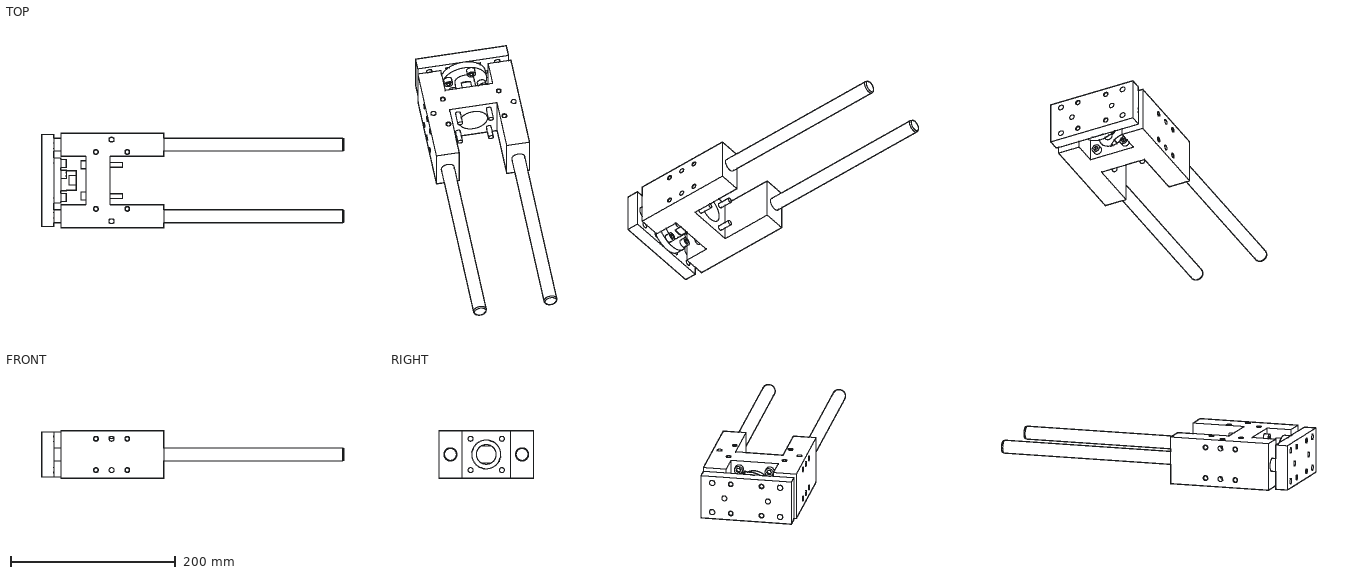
import cadquery as cq
import math


plate_thickness = 15.0
plate_width = 112.0
plate_height = 55.0
corner_hole_diameter = 6.6
middle_hole_diameter = 6.2
corner_hole_y = 42.0
middle_hole_y = 27.0

rod_diameter = 16.0
rod_spacing = 87.0
rod_end_x = 367.0
rod_chamfer_length = 2.0
rod_chamfer_depth = 0.8

housing_start_x = 23.5
housing_length = 125.0
housing_width = 115.0
housing_height = 58.0
arm_gap = 58.5
web_start_x = 53.7
web_thickness = 29.4
web_bore_diameter = 35.0

mount_pitch = 38.0
mount_half = mount_pitch / 2
thread_core_diameter = 4.92
thread_diameter = 6.0
thread_depth = 12.0
drill_point_angle = 118.0
dowel_diameter = 6.0
side_dowel_depth = 10.5
top_dowel_depth = 9.5
mount_center_x = 85.0
top_thread_y = 34.5
top_dowel_y = 49.5

screw_diameter = 6.0
screw_head_diameter = 10.0
socket_width = 5.0
socket_depth = 3.0
web_screw_head_height = 6.0
web_screw_tip_x = 98.5

flange_diameter = 55.0
flange_end_x = housing_start_x
flange_screw_count = 4
flange_screw_circle_diameter = 44.0
flange_screw_angle = 20.0
flange_screw_head_height = 6.5
hub_diameter = 24.0
hub_end_x = 42.2
hub_flat_width = 21.0
hub_flat_length = 9.0

X_AXIS = (1, 0, 0)
Y_AXIS = (0, 1, 0)
Z_AXIS = (0, 0, 1)


def reverse(direction):
    return tuple(-component for component in direction)


def perpendicular(direction):
    """An axis square to the given axis direction."""
    return X_AXIS if direction[0] == 0 else Y_AXIS


def cylinder(start, direction, diameter, length):
    """Solid cylinder that grows from start along direction."""
    plane = cq.Plane(origin=start, xDir=perpendicular(direction), normal=direction)
    return cq.Workplane(plane).circle(diameter / 2).extrude(length)


def box_between(x_start, x_end, width, height):
    """Box centred on Y and Z that spans the given range of X."""
    length = x_end - x_start
    return cq.Workplane("XY").box(length, width, height).translate((x_start + length / 2, 0, 0))


def threaded_hole(start, direction, depth):
    """Core hole with a 45 degree countersink and a conical drill point."""
    core_radius = thread_core_diameter / 2
    mouth_radius = thread_diameter / 2
    sink_depth = mouth_radius - core_radius
    point_length = core_radius / math.tan(math.radians(drill_point_angle / 2))
    across = perpendicular(direction)
    normal = cq.Vector(*across).cross(cq.Vector(*direction))
    plane = cq.Plane(origin=start, xDir=across, normal=normal)
    return (
        cq.Workplane(plane)
        .moveTo(0, 0)
        .lineTo(mouth_radius, 0)
        .lineTo(core_radius, sink_depth)
        .lineTo(core_radius, depth)
        .lineTo(0, depth + point_length)
        .close()
        .revolve(360, (0, 0), (0, 1))
    )


def hex_socket(y, z, start_x):
    """Hexagonal socket sunk into a screw head along +X."""
    across_corners = socket_width / math.cos(math.pi / 6)
    plane = cq.Plane(origin=(start_x, y, z), xDir=Y_AXIS, normal=X_AXIS)
    return cq.Workplane(plane).polygon(6, across_corners).extrude(socket_depth)


def mount_positions():
    return [(y, z) for y in (-mount_half, mount_half) for z in (-mount_half, mount_half)]


def make_rod(y):
    length = rod_end_x - plate_thickness
    rod = cylinder((plate_thickness, y, 0), X_AXIS, rod_diameter, length)
    return rod.faces(">X").chamfer(rod_chamfer_length, rod_chamfer_depth)


def make_plate():
    """Front plate with plain and threaded holes right through it."""
    plate = box_between(0, plate_thickness, plate_width, plate_height)
    for side in (-1, 1):
        middle_start = (0, side * middle_hole_y, 0)
        plate = plate.cut(cylinder(middle_start, X_AXIS, middle_hole_diameter, plate_thickness))
        for z in (-mount_half, mount_half):
            corner_start = (0, side * corner_hole_y, z)
            plate = plate.cut(cylinder(corner_start, X_AXIS, corner_hole_diameter, plate_thickness))
    for y, z in mount_positions():
        plate = plate.cut(threaded_hole((0, y, z), X_AXIS, plate_thickness))
    return plate


def make_coupling():
    """Round flange with screw heads and a hub with two wrench flats."""
    flange_length = flange_end_x - plate_thickness
    coupling = cylinder((plate_thickness, 0, 0), X_AXIS, flange_diameter, flange_length)

    hub = cylinder((flange_end_x, 0, 0), X_AXIS, hub_diameter, hub_end_x - flange_end_x)
    flat_start_x = hub_end_x - hub_flat_length
    hub_end = box_between(flat_start_x, hub_end_x, hub_diameter, hub_diameter)
    flat_core = box_between(flat_start_x, hub_end_x, hub_diameter, hub_flat_width)
    coupling = coupling.union(hub.cut(hub_end.cut(flat_core)))

    for index in range(flange_screw_count):
        angle = math.radians(flange_screw_angle + index * 360 / flange_screw_count)
        y = -flange_screw_circle_diameter / 2 * math.cos(angle)
        z = flange_screw_circle_diameter / 2 * math.sin(angle)
        head = cylinder((flange_end_x, y, z), X_AXIS, screw_head_diameter, flange_screw_head_height)
        socket_start_x = flange_end_x + flange_screw_head_height - socket_depth
        coupling = coupling.union(head.cut(hex_socket(y, z, socket_start_x)))
    return coupling


def make_carriage():
    """Moving body: front plate, coupling and the two guide rods."""
    carriage = make_plate().union(make_coupling())
    for side in (-1, 1):
        carriage = carriage.union(make_rod(side * rod_spacing / 2))
    return carriage


def make_web_screw(y, z):
    head_start_x = web_start_x - web_screw_head_height
    head = cylinder((head_start_x, y, z), X_AXIS, screw_head_diameter, web_screw_head_height)
    head = head.cut(hex_socket(y, z, head_start_x))
    shank = cylinder((web_start_x, y, z), X_AXIS, screw_diameter, web_screw_tip_x - web_start_x)
    return head.union(shank)


def cut_side_holes(housing, side):
    """Two rows of holes in an outer Y face: a dowel hole between two threads."""
    inward = reverse(Y_AXIS) if side > 0 else Y_AXIS
    y = side * housing_width / 2
    for z in (-mount_half, mount_half):
        dowel_start = (mount_center_x, y, z)
        housing = housing.cut(cylinder(dowel_start, inward, dowel_diameter, side_dowel_depth))
        for x in (mount_center_x - mount_half, mount_center_x + mount_half):
            housing = housing.cut(threaded_hole((x, y, z), inward, thread_depth))
    return housing


def cut_top_holes(housing, side):
    """Dowel hole and two threads in the top of one arm."""
    down = reverse(Z_AXIS)
    z = housing_height / 2
    dowel_start = (mount_center_x, side * top_dowel_y, z)
    housing = housing.cut(cylinder(dowel_start, down, dowel_diameter, top_dowel_depth))
    for x in (mount_center_x - mount_half, mount_center_x + mount_half):
        housing = housing.cut(threaded_hole((x, side * top_thread_y, z), down, thread_depth))
    return housing


def make_housing():
    """Fixed body: two arms joined by a web that carries four screws."""
    housing_end_x = housing_start_x + housing_length
    web_end_x = web_start_x + web_thickness
    housing = box_between(housing_start_x, housing_end_x, housing_width, housing_height)
    housing = housing.cut(box_between(housing_start_x, web_start_x, arm_gap, housing_height))
    housing = housing.cut(box_between(web_end_x, housing_end_x, arm_gap, housing_height))
    housing = housing.cut(cylinder((web_start_x, 0, 0), X_AXIS, web_bore_diameter, web_thickness))
    for side in (-1, 1):
        rod_hole_start = (housing_start_x, side * rod_spacing / 2, 0)
        housing = housing.cut(cylinder(rod_hole_start, X_AXIS, rod_diameter, housing_length))
        housing = cut_side_holes(housing, side)
        housing = cut_top_holes(housing, side)
    for y, z in mount_positions():
        housing = housing.union(make_web_screw(y, z))
    return housing


carriage = make_carriage()
housing = make_housing()

result = cq.Compound.makeCompound([carriage.val(), housing.val()])